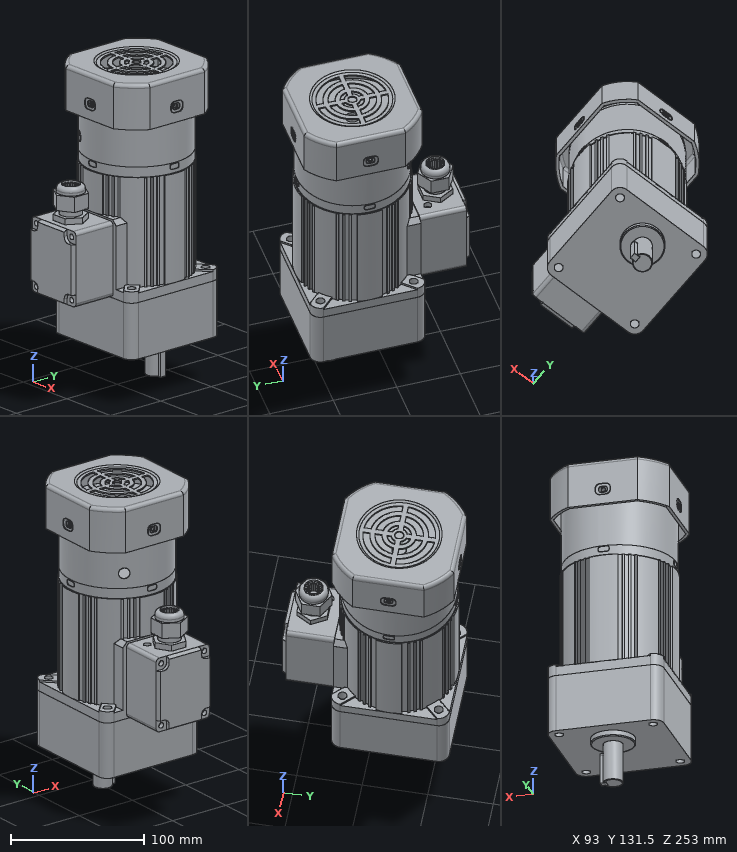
import cadquery as cq
import math


flange_side = 90.0
half_flange = flange_side / 2
corner_radius = 8.0
mount_hole_offset = 36.7
mount_hole_diameter = 6.5

boss_bottom = 31.5
gearhead_bottom = 36.2
gearhead_top = 81.2
flange_top = 88.8
lug_top = 90.3
frame_top = 175.5
spigot_top = 183.7
cover_bottom = 216.8
bell_top = 233.8
cover_top = 253.0

shaft_offset = 18.0
shaft_diameter = 15.0
shaft_chamfer = 0.5
boss_diameter = 34.0
boss_chamfer = 0.8
key_size = 5.0
key_length = 25.0
key_outer_x = 9.5

spigot_radius = 43.5
core_radius = spigot_radius
fin_radius = half_flange
corner_pad_radius = 44.5
front_pad_angle = 29.0
side_pad_angle = 25.4
first_fin_angle = 19.6
fin_pitch_angle = 6.2
fin_width_angle = 2.2
fins_per_half = 3
rib_root = 0.8
pad_half_width = 28.5
pad_top = 143.5
pad_chamfer = 4.0

bell_radius = 44.0
bell_bore_radius = spigot_radius
bell_plate = 2.5
bell_center_hole = 10.5
cable_hole_diameter = 8.5
cable_hole_z = 196.0
cable_hole_direction = 240.0
vent_length = 8.5
vent_height = 4.3
vent_z = 181.0

cover_side = 93.0
cover_corner_radius = 54.0
cover_wall = cover_side / 2 - bell_radius
cover_plate = 1.0
cover_edge_fillet = 3.0
cover_inner_fillet = 2.3
grille_outer_radius = 34.5
grille_rim_radius = 32.1
grille_floor_radius = 30.4
grille_depth = 1.0
grille_slots = [(6.0, 9.0), (13.0, 18.2), (22.0, 27.3)]
grille_rib_width = 4.0
grille_center_diameter = 6.8
screw_z = 229.0
screw_recess_length = 11.6
screw_recess_height = 8.9
screw_recess_depth = 0.8
screw_slot_length = 6.5
screw_slot_height = 4.8
screw_slot_depth = 1.5
screw_hole_diameter = 3.5

box_half_width = 25.0
box_bottom = 82.0
box_top = 142.0
box_front = -82.0
box_edge_fillet = 3.0
lid_thickness = 3.0
lid_bevel = 1.8
notch_size = 9.9
notch_radius = 4.8
lid_screw_inset = 4.8
lid_screw_diameter = 4.3
lid_screw_depth = 4.0
drain_x = -13.2
drain_y = -55.2
drain_diameter = 5.8
drain_depth = 4.0

gland_y = -65.3
base_hex_flats = 23.3
base_hex_top = 146.7
neck_diameter = 17.7
nut_bottom = 152.0
nut_flats = 24.3
nut_top = 164.2
cap_diameter = 22.0
cap_top = 170.5
cap_fillet = 4.0
gland_bore_diameter = 14.2
gland_bore_depth = 10.0
finger_count = 16
finger_inner_radius = 4.5
finger_width = 1.3
finger_root = 0.3
finger_drop = 1.5

oval_rounding = 0.4

QUARTER_TURNS = [0, 90, 180, 270]


def cylinder(radius, bottom, top, x=0.0, y=0.0):
    """Upright cylinder between two Z levels."""
    return cq.Workplane("XY", origin=(x, y, bottom)).circle(radius).extrude(top - bottom)


def rounded_square(bottom, top):
    """Square flange block with rounded upright edges."""
    block = cq.Workplane("XY", origin=(0, 0, bottom)).rect(flange_side, flange_side)
    return block.extrude(top - bottom).edges("|Z").fillet(corner_radius)


def mount_holes(bottom, top):
    """Cutters for the four mounting holes."""
    spacing = 2 * mount_hole_offset
    return (
        cq.Workplane("XY", origin=(0, 0, bottom))
        .rect(spacing, spacing, forConstruction=True)
        .vertices()
        .circle(mount_hole_diameter / 2)
        .extrude(top - bottom)
    )


def turn(shape, angle):
    """Turn a shape about the motor axis."""
    return shape.rotate((0, 0, 0), (0, 0, 1), angle)


def oval_cutter(length, height, middle_z, start_x, end_x):
    """Block along X with a rounded section, centred on the XZ plane."""
    block = cq.Workplane("YZ", origin=(start_x, 0, middle_z)).rect(length, height)
    return block.extrude(end_x - start_x).edges("|X").fillet(oval_rounding * height)


def make_key():
    """Key that is round at its upper end and flush with the shaft end."""
    half = key_size / 2
    outline = (
        cq.Workplane("YZ", origin=(key_outer_x - key_size, shaft_offset, 0))
        .moveTo(-half, 0)
        .lineTo(half, 0)
        .lineTo(half, key_length - half)
        .threePointArc((0, key_length), (-half, key_length - half))
        .close()
    )
    return outline.extrude(key_size)


def make_gearhead(key):
    body = rounded_square(gearhead_bottom, gearhead_top)
    body = body.cut(mount_holes(gearhead_bottom, gearhead_top))
    boss = cylinder(boss_diameter / 2, boss_bottom, gearhead_bottom, y=shaft_offset)
    shaft = cylinder(shaft_diameter / 2, 0, boss_bottom, y=shaft_offset)
    boss = boss.faces("<Z").chamfer(boss_chamfer)
    shaft = shaft.faces("<Z").chamfer(shaft_chamfer)
    return body.union(boss).union(shaft).cut(key)


def frame_rib(angle, width_angle, radius):
    """Upright rib on the frame, a sector from inside the core out to the given radius."""
    half = math.radians(width_angle / 2)
    inner = core_radius - rib_root
    start = (inner * math.cos(half), -inner * math.sin(half))
    outer_start = (radius * math.cos(half), -radius * math.sin(half))
    outline = (
        cq.Workplane("XY", origin=(0, 0, gearhead_top))
        .moveTo(*start)
        .lineTo(*outer_start)
        .threePointArc((radius, 0), (outer_start[0], -outer_start[1]))
        .lineTo(start[0], -start[1])
        .close()
    )
    return turn(outline.extrude(frame_top - gearhead_top), angle)


def make_frame():
    frame = cylinder(core_radius, gearhead_top, frame_top)
    frame = frame.union(cylinder(spigot_radius, frame_top, spigot_top))
    last_fin_edge = first_fin_angle + (fins_per_half - 1) * fin_pitch_angle + fin_width_angle / 2
    corner_pad_angle = 90 - 2 * last_fin_edge
    for side in QUARTER_TURNS:
        center_pad_angle = side_pad_angle if side in (0, 180) else front_pad_angle
        frame = frame.union(frame_rib(side, center_pad_angle, fin_radius))
        frame = frame.union(frame_rib(side + 45, corner_pad_angle, corner_pad_radius))
        for number in range(fins_per_half):
            offset = first_fin_angle + number * fin_pitch_angle
            for angle in (side - offset, side + offset):
                frame = frame.union(frame_rib(angle, fin_width_angle, fin_radius))

    strip_width = math.sqrt(2) * corner_radius
    lugs = rounded_square(flange_top, lug_top)
    strip = cq.Workplane("XY", origin=(0, 0, flange_top)).rect(2 * flange_side, strip_width)
    strip = strip.extrude(lug_top - flange_top)
    strips = turn(strip, 45).union(turn(strip, -45))
    frame = frame.union(rounded_square(gearhead_top, flange_top))
    frame = frame.union(lugs.intersect(strips))

    pad = (
        cq.Workplane("XY", origin=(0, -half_flange / 2, gearhead_top))
        .rect(2 * pad_half_width, half_flange)
        .extrude(pad_top - gearhead_top)
        .edges(">Z and |Y")
        .chamfer(pad_chamfer)
    )
    return frame.union(pad).cut(mount_holes(gearhead_top, lug_top))


def make_bell():
    """Thin cup, open at the bottom, with a round middle hole in its top plate."""
    bell = cylinder(bell_radius, frame_top, bell_top)
    bell = bell.cut(cylinder(bell_bore_radius, frame_top, bell_top - bell_plate))
    bell = bell.cut(cylinder(bell_center_hole / 2, bell_top - bell_plate, bell_top))

    for side in QUARTER_TURNS:
        bell = bell.cut(turn(oval_cutter(vent_length, vent_height, vent_z, 0, bell_radius), side))

    for side in QUARTER_TURNS:
        screw_hole = cq.Workplane("YZ", origin=(0, 0, screw_z)).circle(screw_hole_diameter / 2)
        bell = bell.cut(turn(screw_hole.extrude(bell_radius), side))

    cable_hole = cq.Workplane("YZ", origin=(0, 0, cable_hole_z)).circle(cable_hole_diameter / 2)
    return bell.cut(turn(cable_hole.extrude(bell_radius), cable_hole_direction))


def cover_block(inset, bottom, top):
    """Square block with large round corners, inset from the cover's outer side."""
    side = cover_side - 2 * inset
    block = cq.Workplane("XY", origin=(0, 0, bottom)).rect(side, side).extrude(top - bottom)
    return block.intersect(cylinder(cover_corner_radius - inset, bottom, top))


def grille_openings(bottom, top):
    """Ring slots split by crossed ribs, and the round middle opening."""
    openings = None
    for inner, outer in grille_slots:
        ring = cylinder(outer, bottom, top).cut(cylinder(inner, bottom, top))
        openings = ring if openings is None else openings.union(ring)
    height = top - bottom
    base = cq.Workplane("XY", origin=(0, 0, bottom))
    ribs = base.rect(cover_side, grille_rib_width).extrude(height)
    ribs = ribs.union(base.rect(grille_rib_width, cover_side).extrude(height))
    return openings.cut(ribs).union(cylinder(grille_center_diameter / 2, bottom, top))


def screw_recess():
    """Cutter for an oval recess, a smaller oval in its floor and a hole, on the +X side."""
    outside = cover_side / 2
    recess = oval_cutter(
        screw_recess_length, screw_recess_height, screw_z, outside - screw_recess_depth, outside
    )
    slot = oval_cutter(screw_slot_length, screw_slot_height, screw_z, outside - screw_slot_depth, outside)
    hole = cq.Workplane("YZ", origin=(outside - 2 * cover_wall, 0, screw_z))
    hole = hole.circle(screw_hole_diameter / 2).extrude(2 * cover_wall)
    return recess.union(slot).union(hole)


def make_cover():
    """Thin shell, open at the bottom, with a dished grille in its top plate."""
    cover = cover_block(0, cover_bottom, cover_top).faces(">Z").edges().fillet(cover_edge_fillet)
    cavity = cover_block(cover_wall, cover_bottom, cover_top - cover_plate)
    cover = cover.cut(cavity.faces(">Z").edges().fillet(cover_inner_fillet))

    floor = cover_top - grille_depth
    underside = floor - cover_plate
    cover = cover.union(cylinder(grille_outer_radius, underside, cover_top - cover_plate))
    dish = (
        cq.Workplane("XZ")
        .moveTo(0, floor)
        .lineTo(grille_floor_radius, floor)
        .lineTo(grille_rim_radius, cover_top)
        .lineTo(0, cover_top)
        .close()
        .revolve(360, (0, 0, 0), (0, 1, 0))
    )
    cover = cover.cut(dish).cut(grille_openings(underside, floor))

    for side in QUARTER_TURNS:
        cover = cover.cut(turn(screw_recess(), side))
    return cover


def make_terminal_box():
    height = box_top - box_bottom
    middle_z = (box_top + box_bottom) / 2
    box = (
        cq.Workplane("XZ", origin=(0, -half_flange, middle_z))
        .rect(2 * box_half_width, height)
        .extrude(-half_flange - box_front)
        .edges("|Y")
        .fillet(box_edge_fillet)
    )

    lid = (
        cq.Workplane("XZ", origin=(0, box_front, middle_z))
        .rect(2 * box_half_width, height)
        .workplane(offset=lid_thickness)
        .rect(2 * (box_half_width - lid_bevel), height - 2 * lid_bevel)
        .loft()
    )
    screw_x = box_half_width - lid_screw_inset
    screw_z_offset = height / 2 - lid_screw_inset
    for x_side in (-1, 1):
        for z_side in (-1, 1):
            corner_x = x_side * box_half_width
            corner_z = middle_z + z_side * height / 2
            notch = (
                cq.Workplane("XZ", origin=(corner_x, box_front, corner_z))
                .rect(2 * notch_size, 2 * notch_size)
                .extrude(lid_thickness)
                .edges("|Y")
                .fillet(notch_radius)
            )
            lid = lid.cut(notch)
            screw_place = (x_side * screw_x, box_front, middle_z + z_side * screw_z_offset)
            hole = (
                cq.Workplane("XZ", origin=screw_place)
                .circle(lid_screw_diameter / 2)
                .extrude(-lid_screw_depth)
            )
            box = box.cut(hole)
    box = box.union(lid)
    return box.cut(cylinder(drain_diameter / 2, box_top - drain_depth, box_top, drain_x, drain_y))


def hexagon(flats, bottom, top, angle):
    """Upright hexagonal prism on the gland axis."""
    corners = flats / math.cos(math.radians(30))
    prism = cq.Workplane("XY").polygon(6, corners).extrude(top - bottom)
    return turn(prism, angle).translate((0, gland_y, bottom))


def make_gland():
    gland = hexagon(base_hex_flats, box_top, base_hex_top, 0)
    gland = gland.union(cylinder(neck_diameter / 2, base_hex_top, nut_bottom, y=gland_y))
    gland = gland.union(hexagon(nut_flats, nut_bottom, nut_top, 30))
    cap = cylinder(cap_diameter / 2, nut_top, cap_top, y=gland_y)
    gland = gland.union(cap.faces(">Z").edges().fillet(cap_fillet))

    bore_radius = gland_bore_diameter / 2
    bore_bottom = cap_top - gland_bore_depth
    finger_top = cap_top - finger_drop
    gland = gland.cut(cylinder(bore_radius, bore_bottom, cap_top, y=gland_y))
    finger_length = bore_radius - finger_inner_radius + finger_root
    for number in range(finger_count):
        finger = (
            cq.Workplane("XY", origin=(finger_inner_radius + finger_length / 2, 0, bore_bottom))
            .rect(finger_length, finger_width)
            .extrude(finger_top - bore_bottom)
        )
        gland = gland.union(turn(finger, number * 360 / finger_count).translate((0, gland_y, 0)))
    return gland


key = make_key()
gearhead = make_gearhead(key)
frame = make_frame()
bell = make_bell()
cover = make_cover()
terminal_box = make_terminal_box()
gland = make_gland()

result = cq.Compound.makeCompound(
    [
        key.val(),
        gearhead.val(),
        frame.val(),
        bell.val(),
        cover.val(),
        terminal_box.val(),
        gland.val(),
    ]
)